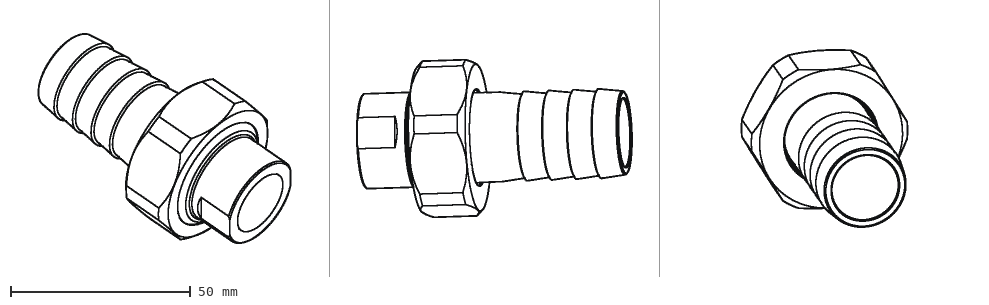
import cadquery as cq
import math


tail_diameter = 25.0
tail_bore = 19.0
barb_count = 5
barb_pitch = 7.0
barb_step_length = 0.4
barb_root_diameter = 23.4
tip_diameter = 22.6
tip_chamfer_length = 0.35
tail_bore_chamfer = 0.3
collar_diameter = 30.29
collar_length = 4.0
collar_root_chamfer = 0.3

nut_start = 41.5
nut_length = 16.0
nut_flats = 41.0
nut_corner_diameter = 44.68
nut_chamfer = 1.9
nut_lip_length = 4.0
nut_lip_bore = 26.5
nut_bore_chamfer = 0.3

thread_diameter = 33.1
thread_end_diameter = 29.5
thread_end = 58.9
shoulder_step_diameter = 27.5
shoulder_step_length = 0.45
shoulder_taper_length = 0.5
neck_diameter = 26.5
neck_end = 73.5
neck_end_chamfer = 0.4
end_bore = 18.63
wrench_flats = 25.0
wrench_flat_length = 10.75

nut_end = nut_start + nut_length
collar_start = nut_start + nut_lip_length
collar_end = collar_start + collar_length


def bored(solid, start, end, diameter):
    """Cut a round hole along X from start to end."""
    hole = cq.Workplane("YZ", origin=(start, 0, 0)).circle(diameter / 2).extrude(end - start)
    return solid.cut(hole)


def chamfered_entry(solid, size):
    """Chamfer the rim of the bore on the face at the hose end."""
    return solid.faces("<X").edges(cq.selectors.RadiusNthSelector(0)).chamfer(size)


def turned(profile):
    """Revolve a list of (x, diameter) points, closed along the axis, about X."""
    points = [(x, diameter / 2) for x, diameter in profile]
    points = [(profile[0][0], 0)] + points + [(profile[-1][0], 0)]
    return cq.Workplane("XZ").polyline(points).close().revolve(360, (0, 0, 0), (1, 0, 0))


def make_hose_tail():
    profile = [(0, tip_diameter), (tip_chamfer_length, barb_root_diameter)]
    for barb in range(1, barb_count):
        crest = barb * barb_pitch
        profile.append((crest, tail_diameter))
        profile.append((crest + barb_step_length, barb_root_diameter))
    profile += [
        (barb_count * barb_pitch, tail_diameter),
        (collar_start - collar_root_chamfer, tail_diameter),
        (collar_start, tail_diameter + 2 * collar_root_chamfer),
        (collar_start, collar_diameter),
        (collar_end, collar_diameter),
    ]
    tail = bored(turned(profile), 0, collar_end, tail_bore)
    return chamfered_entry(tail, tail_bore_chamfer)


def make_union_nut():
    sharp_corner_diameter = nut_flats / math.cos(math.pi / 6)
    hexagon = (
        cq.Workplane("YZ", origin=(nut_start, 0, 0))
        .polygon(6, sharp_corner_diameter)
        .extrude(nut_length)
    )
    face_diameter = nut_corner_diameter - 2 * nut_chamfer
    envelope = turned([
        (nut_start, face_diameter),
        (nut_start + nut_chamfer, nut_corner_diameter),
        (nut_end - nut_chamfer, nut_corner_diameter),
        (nut_end, face_diameter),
    ])
    nut = bored(hexagon.intersect(envelope), nut_start, collar_start, nut_lip_bore)
    nut = chamfered_entry(nut, nut_bore_chamfer)
    return bored(nut, collar_start, nut_end, thread_diameter)


def make_threaded_end():
    thread_taper = (thread_diameter - thread_end_diameter) / 2
    shoulder_end = thread_end + shoulder_step_length
    body = turned([
        (collar_end, thread_diameter),
        (thread_end - thread_taper, thread_diameter),
        (thread_end, thread_end_diameter),
        (shoulder_end, shoulder_step_diameter),
        (shoulder_end + shoulder_taper_length, neck_diameter),
        (neck_end - neck_end_chamfer, neck_diameter),
        (neck_end, neck_diameter - 2 * neck_end_chamfer),
    ])
    body = bored(body, collar_end, neck_end, end_bore)
    return body.cut(wrench_flat_cutter(1)).cut(wrench_flat_cutter(-1))


def wrench_flat_cutter(side):
    """Cutter for the +Y (side 1) or -Y (side -1) wrench flat, with a 45 degree run-out."""
    flat = side * wrench_flats / 2
    rise = neck_diameter - wrench_flats
    start = neck_end - wrench_flat_length
    return (
        cq.Workplane("XY")
        .polyline([
            (start, flat),
            (neck_end, flat),
            (neck_end, flat + side * rise),
            (start - rise, flat + side * rise),
        ])
        .close()
        .extrude(neck_diameter / 2, both=True)
    )


hose_tail = make_hose_tail()
union_nut = make_union_nut()
threaded_end = make_threaded_end()

result = cq.Compound.makeCompound([hose_tail.val(), union_nut.val(), threaded_end.val()])